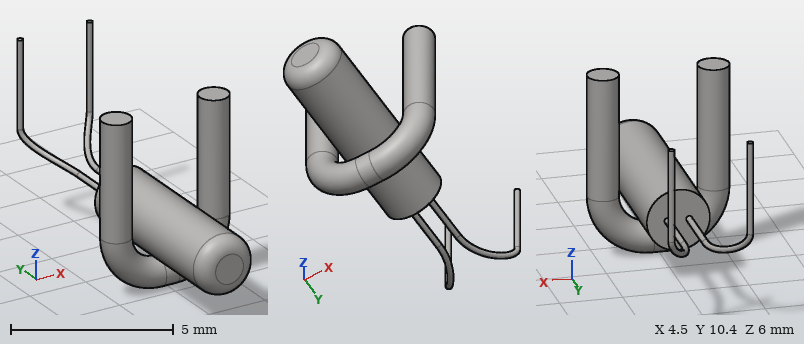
import cadquery as cq

cylinder_diameter = 2.0
cylinder_length = 6.3
front_length = 3.81
total_length = 10.4
rod_diameter = 1.0
rod_width = 4.5
leg_height = 4.0
wire_diameter = 0.2
wire_root_offset = 0.34
wire_tip_offset = 1.25
wire_straight_length = 1.98
wire_bend_height = 1.0
wire_bend_handle_ratio = 0.55
bend_radius = 1.51

cylinder_radius = cylinder_diameter / 2
rod_radius = rod_diameter / 2
wire_radius = wire_diameter / 2
front_y = -front_length
back_y = front_y + cylinder_length
front_rounding = cylinder_radius / 2
leg_offset = rod_width / 2 - rod_radius
bridge_z = -(cylinder_radius + rod_radius)
bend_top_z = bridge_z + bend_radius
half_bridge = leg_offset - bend_radius
wire_bend_start_y = back_y + wire_straight_length
wire_tip_y = front_y + total_length - wire_radius


def make_wire(side):
    """Lead wire: straight out of the cylinder, spreading upward bend, upright end."""
    root = cq.Vector(side * wire_root_offset, back_y, 0)
    bend_start = cq.Vector(side * wire_root_offset, wire_bend_start_y, 0)
    bend_end = cq.Vector(side * wire_tip_offset, wire_tip_y, wire_bend_height)
    outward = cq.Vector(0, 1, 0)
    upward = cq.Vector(0, 0, 1)

    straight = cq.Solid.makeCylinder(wire_radius, wire_straight_length, root, outward)
    upright = cq.Solid.makeCylinder(wire_radius, leg_height - wire_bend_height, bend_end, upward)
    start_handle = bend_start + outward * (wire_bend_handle_ratio * (wire_tip_y - wire_bend_start_y))
    end_handle = bend_end - upward * (wire_bend_handle_ratio * wire_bend_height)
    curve = cq.Edge.makeBezier([bend_start, start_handle, end_handle, bend_end])
    bend = (
        cq.Workplane(cq.Plane(bend_start, xDir=(1, 0, 0), normal=outward))
        .circle(wire_radius)
        .sweep(cq.Workplane(obj=cq.Wire.assembleEdges([curve])))
    )
    return bend.union(cq.Workplane(straight)).union(cq.Workplane(upright))


def make_sensor():
    """Cylinder with a rounded front end and two lead wires at the back."""
    sensor = (
        cq.Workplane("XZ", origin=(0, back_y, 0))
        .circle(cylinder_radius)
        .extrude(cylinder_length)
        .faces("<Y")
        .edges()
        .fillet(front_rounding)
    )
    for side in (-1, 1):
        sensor = sensor.union(make_wire(side))
    return sensor


def make_rod():
    """Round rod bent into a U below the cylinder."""
    path = (
        cq.Workplane("XZ")
        .moveTo(-leg_offset, leg_height)
        .lineTo(-leg_offset, bend_top_z)
        .radiusArc((-half_bridge, bridge_z), -bend_radius)
        .lineTo(half_bridge, bridge_z)
        .radiusArc((leg_offset, bend_top_z), -bend_radius)
        .lineTo(leg_offset, leg_height)
    )
    return (
        cq.Workplane("XY", origin=(-leg_offset, 0, leg_height))
        .circle(rod_radius)
        .sweep(path)
    )


sensor = make_sensor()
rod = make_rod()

result = cq.Compound.makeCompound([sensor.val(), rod.val()])